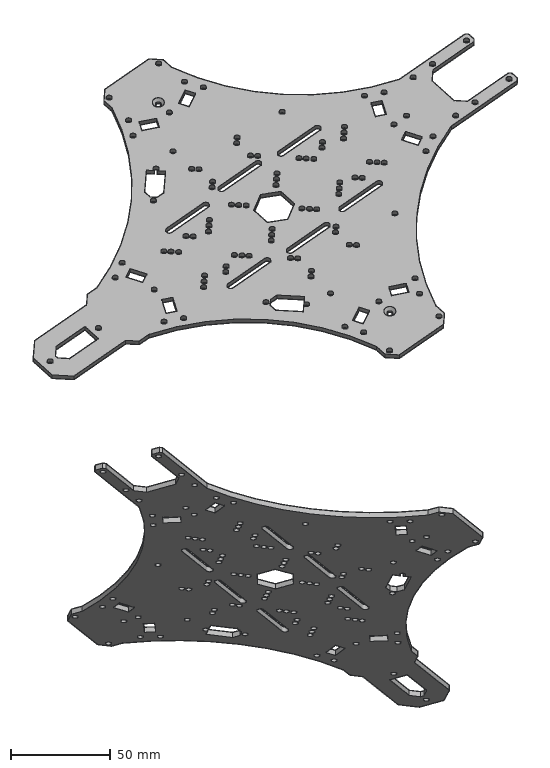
import cadquery as cq
import math

thickness = 3.0
half_width = 113.0
front_y = 146.8
rear_y = front_y - 302

arm_half = 20.0
waist_radius = 129.0
waist_centre = 142.2
arm_chamfer = 5.0
prong_inner_x = 13.3
prong_root_y = 113.2
prong_root_chamfer = 4.8
prong_tip_chamfer = 1.2
tail_half = 15.0
tail_step_y = -107.8
tail_step_drop = 4.8
tail_chamfer = 8.0

hole_d = 3.0
small_hole_d = 2.5
countersink_d = 6.0

stack_halves = (10.0, 12.7, 15.25)
stack_offset = 45.3
extra_offset = 30.5

hub_hex_flats = 18.0
strap_slot_length = 28.0
strap_slot_width = 3.5
strap_slots = ((23.5, 37.5), (23.5, -37.5), (26.3, 0))
arm_window_length = 9.0
arm_window_width = 5.7
arm_window_angle = 27
arm_window_side = 12.7
arm_window_out = 81.2
tail_window_width = 10.3
tail_window_top = -122.3
tail_window_bottom = -146.0
tail_window_chamfer = 4.2
switch_window_length = 17.0
switch_window_width = 9.7
switch_window_chamfer = 3.0
switch_window_x = 50.7
switch_window_y = -35.5


def mirrored_x(points):
    """Add the mirror image of every point across the YZ plane."""
    return points + [(-x, y) for x, y in points]


def mirrored_xy(points):
    """Repeat every point in all four quadrants."""
    half = mirrored_x(points)
    return half + [(x, -y) for x, y in half]


def make_plate():
    arc_end = waist_centre - math.sqrt(waist_radius**2 - (waist_centre - arm_half) ** 2)
    arc_mid = waist_centre - waist_radius / math.sqrt(2)
    arm_corner = arm_half - arm_chamfer
    half = (
        cq.Workplane("XY")
        .moveTo(0, prong_root_y)
        .lineTo(prong_inner_x - prong_root_chamfer, prong_root_y)
        .lineTo(prong_inner_x, prong_root_y + prong_root_chamfer)
        .lineTo(prong_inner_x, front_y - prong_tip_chamfer)
        .lineTo(prong_inner_x + prong_tip_chamfer, front_y)
        .lineTo(arm_half - prong_tip_chamfer, front_y)
        .lineTo(arm_half, front_y - prong_tip_chamfer)
        .lineTo(arm_half, arc_end)
        .threePointArc((arc_mid, arc_mid), (arc_end, arm_half))
        .lineTo(half_width - arm_chamfer, arm_half)
        .lineTo(half_width, arm_corner)
        .lineTo(half_width, -arm_corner)
        .lineTo(half_width - arm_chamfer, -arm_half)
        .lineTo(arc_end, -arm_half)
        .threePointArc((arc_mid, -arc_mid), (arm_half, -arc_end))
        .lineTo(arm_half, tail_step_y)
        .lineTo(tail_half, tail_step_y - tail_step_drop)
        .lineTo(tail_half, rear_y + tail_chamfer)
        .lineTo(tail_half - tail_chamfer, rear_y)
        .lineTo(0, rear_y)
        .close()
        .extrude(thickness)
    )
    return half.union(half.mirror("YZ"))


def drill(plate, points, diameter):
    cutter = cq.Workplane("XY").pushPoints(points).circle(diameter / 2).extrude(thickness)
    return plate.cut(cutter)


def stack_holes():
    points = []
    for half in stack_halves:
        points += [(half, half), (half, stack_offset - half), (half, stack_offset + half)]
    for half in stack_halves[1:]:
        points += [
            (half, extra_offset + half),
            (extra_offset + half, half),
            (stack_offset - half, half),
        ]
    return mirrored_xy(points)


def arm_holes():
    quadrant = [(18.7, 90.15), (23.5, 81.2)]
    quadrant += [(y, x) for x, y in quadrant]
    return mirrored_xy(quadrant) + [(0, 80.3), (0, -80.3), (80.3, 0), (-80.3, 0)]


def other_holes():
    quadrants = mirrored_xy([(43.2, 43.2), (107.5, 16.5)])
    pairs = mirrored_x([(16.3, 143.3), (16.3, 120.5), (16.3, 107.5), (60.5, -14.95), (57.7, -28.7)])
    return quadrants + pairs + [(0, 88.8), (0, -117.8), (0, -150.0)]


def chamfered_window(length, width, chamfer):
    """Window along Y centred on the origin, both corners of its -Y end chamfered."""
    return (
        cq.Workplane("XY")
        .rect(width, length)
        .extrude(thickness)
        .edges("|Z and <Y")
        .chamfer(chamfer)
    )


def cut_windows(plate):
    plate = plate.cut(
        cq.Workplane("XY").polygon(6, hub_hex_flats, circumscribed=True)
        .extrude(thickness).rotate((0, 0, 0), (0, 0, 1), 30)
    )
    plate = plate.cut(
        cq.Workplane("XY")
        .pushPoints(mirrored_x(list(strap_slots)))
        .slot2D(strap_slot_length, strap_slot_width, 90)
        .extrude(thickness)
    )
    arm_window = cq.Workplane("XY").rect(arm_window_length, arm_window_width).extrude(thickness)
    arm_window = arm_window.rotate((0, 0, 0), (0, 0, 1), arm_window_angle)
    arm_window = arm_window.translate((arm_window_side, arm_window_out, 0))
    for quarter in range(4):
        turned = arm_window.rotate((0, 0, 0), (0, 0, 1), 90 * quarter)
        plate = plate.cut(turned).cut(turned.mirror("XZ" if quarter % 2 else "YZ"))

    tail_length = tail_window_top - tail_window_bottom
    tail_window = chamfered_window(tail_length, tail_window_width, tail_window_chamfer)
    plate = plate.cut(tail_window.translate((0, (tail_window_top + tail_window_bottom) / 2, 0)))

    switch_window = chamfered_window(switch_window_length, switch_window_width, switch_window_chamfer)
    switch_window = switch_window.rotate((0, 0, 0), (0, 0, 1), -45)
    switch_window = switch_window.translate((switch_window_x, switch_window_y, 0))
    return plate.cut(switch_window).cut(switch_window.mirror("YZ"))


def cut_countersinks(plate):
    return (
        plate.faces(">Z")
        .workplane(origin=(0, 0, thickness))
        .pushPoints([(88.8, 0), (-88.8, 0)])
        .cskHole(hole_d, countersink_d, 90)
    )


result = make_plate()
result = drill(result, stack_holes() + arm_holes() + other_holes(), hole_d)
result = drill(result, mirrored_x([(43.2, -43.2)]), small_hole_d)
result = cut_windows(result)
result = cut_countersinks(result)